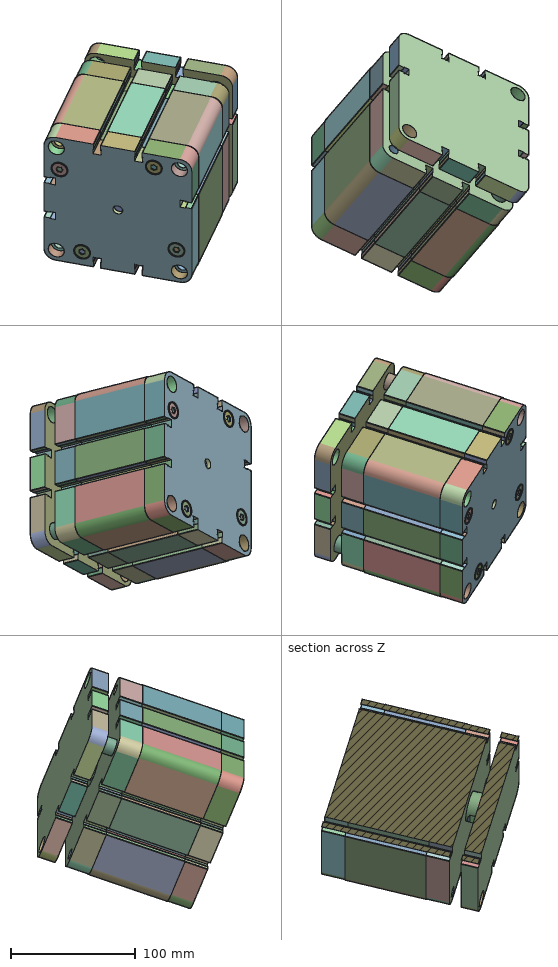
import cadquery as cq


tube_width = 124.0
cap_inset = 0.1
total_length = 130.5
plate_thickness = 14.2
gap = 9.8
cap_length = 19.5

plate_start = total_length - plate_thickness
body_length = plate_start - gap
tube_length = body_length - 2 * cap_length

cap_corner_radius = 9.8
tube_corner_radius = 9.1

slot_offset = 17.4
slot_throat_width = 5.5
slot_mouth_chamfer = 0.4
slot_depth = 9.7
slot_pocket_width = 6.5
slot_pocket_depth = 4.2

mount_offset = 51.5
mount_diameter = 8.4
mount_counterbore_diameter = 13.5
mount_counterbore_depth = 8.5
plate_hole_diameter = 13.5

screw_along_side = 30.0
screw_from_centre = 49.0
screw_bore_diameter = 14.0
screw_head_diameter = 12.5
screw_ring_depth = 0.7
socket_across_corners = 5.6
socket_depth = 1.2

centre_hole_diameter = 8.0
centre_hole_depth = 3.5

guide_offset = 48.2
guide_diameter = 14.0
piston_diameter = 25.0
piston_taper_length = 1.6
piston_taper_width = 0.4
flat_across = 22.5
flat_length = 6.4
flat_ramp_length = 2.1


def rounded_block(start, length, side, corner_radius):
    block = cq.Workplane("XY").box(side, length, side, centered=(True, False, True))
    return block.edges("|Y").fillet(corner_radius).translate((0, start, 0))


def cylinder(x, z, start, length, diameter):
    direction = cq.Vector(0, 1, 0)
    return cq.Workplane(cq.Solid.makeCylinder(diameter / 2, length, cq.Vector(x, start, z), direction))


def turned(shape, angle):
    return shape.rotate((0, 0, 0), (0, 1, 0), angle)


def slot_cutter(x, start, length, inset):
    """T-slot opening towards +Z, with every wall set back by the inset."""
    top = tube_width / 2 - inset
    bottom = tube_width / 2 - slot_depth - inset
    shoulder = bottom + slot_pocket_depth + 2 * inset
    half_pocket = slot_pocket_width / 2 + inset
    half_throat = slot_throat_width / 2 + inset
    half_mouth = half_throat + slot_mouth_chamfer
    half_outline = [
        (half_pocket, bottom),
        (half_pocket, shoulder),
        (half_throat, shoulder),
        (half_throat, top - slot_mouth_chamfer),
        (half_mouth, top),
    ]
    other_half = [(-u, z) for u, z in reversed(half_outline)]
    profile = cq.Workplane("XZ").polyline(half_outline + other_half).close()
    return profile.extrude(-length).translate((x, start, 0))


def slotted_block(start, length, inset, corner_radius):
    """Square block with two slots on the top, bottom and -X sides, and one on the +X side."""
    block = rounded_block(start, length, tube_width - 2 * inset, corner_radius)
    for angle in (0, 180, -90):
        for side in (-1, 1):
            block = block.cut(turned(slot_cutter(side * slot_offset, start, length, inset), angle))
    return block.cut(turned(slot_cutter(-slot_offset, start, length, inset), 90))


def screw_cutter():
    """Ring gap and hexagon socket of the flush screw beside the +Z side."""
    x, z = screw_along_side, screw_from_centre
    ring = cylinder(x, z, 0, screw_ring_depth, screw_bore_diameter).cut(
        cylinder(x, z, 0, screw_ring_depth, screw_head_diameter)
    )
    socket = cq.Workplane("XZ").polygon(6, socket_across_corners).extrude(-socket_depth)
    socket = turned(socket, 90).translate((x, 0, z))
    return ring.union(socket)


def piston_rod():
    """Rod with a slightly tapered end at the plate and a pair of wrench flats on its X sides."""
    radius = piston_diameter / 2
    end_radius = radius - piston_taper_width
    taper_start = plate_start - piston_taper_length
    half_section = [(0, body_length), (radius, body_length), (radius, taper_start), (end_radius, plate_start)]
    rod = cq.Workplane("XY").polyline(half_section + [(0, plate_start)]).close()
    rod = rod.revolve(360, (0, 0, 0), (0, 1, 0))

    flat_x = flat_across / 2
    flat_start = plate_start - flat_length
    flat_cut = cq.Workplane("XY").polyline(
        [
            (flat_x, plate_start),
            (flat_x, flat_start),
            (radius, flat_start - flat_ramp_length),
            (radius, plate_start),
        ]
    )
    flat_cut = flat_cut.close().extrude(radius, both=True)
    return rod.cut(flat_cut).cut(flat_cut.mirror("YZ"))


result = slotted_block(0, cap_length, cap_inset, cap_corner_radius)
result = result.union(slotted_block(cap_length, tube_length, 0, tube_corner_radius))
result = result.union(slotted_block(body_length - cap_length, cap_length, cap_inset, cap_corner_radius))
result = result.union(slotted_block(plate_start, plate_thickness, cap_inset, cap_corner_radius))
result = result.union(piston_rod())
for sign in (-1, 1):
    result = result.union(cylinder(sign * guide_offset, sign * guide_offset, body_length, gap, guide_diameter))

for x_sign in (-1, 1):
    for z_sign in (-1, 1):
        x, z = x_sign * mount_offset, z_sign * mount_offset
        hole_length = cap_length if x_sign == z_sign else body_length
        result = result.cut(cylinder(x, z, 0, mount_counterbore_depth, mount_counterbore_diameter))
        result = result.cut(cylinder(x, z, 0, hole_length, mount_diameter))
        if x_sign != z_sign:
            result = result.cut(cylinder(x, z, plate_start, plate_thickness, plate_hole_diameter))

for angle in (0, 90, 180, 270):
    result = result.cut(turned(screw_cutter(), angle))

result = result.cut(cylinder(0, 0, 0, centre_hole_depth, centre_hole_diameter))